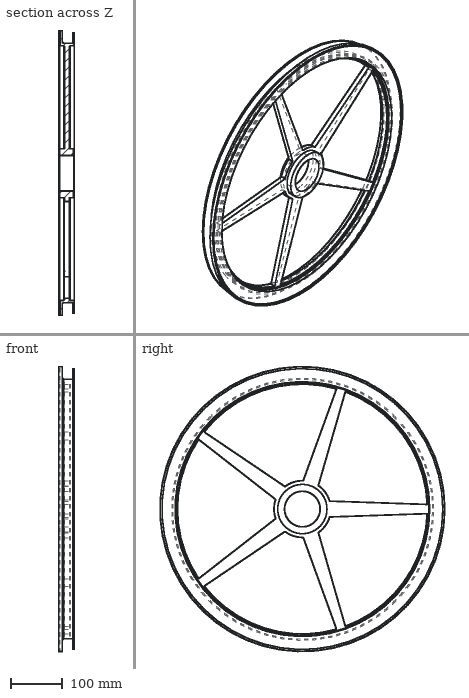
import cadquery as cq

outer_diameter = 548.0
wheel_width = 30.0

left_flange_thickness = 7.0
right_flange_diameter = 540.0
right_flange_thickness = 3.5
groove_diameter = 500.0
groove_root_chamfer = 2.0
rim_bore_diameter = 490.0
face_recess_diameter = 542.0
face_recess_depth = 2.0

web_left = 11.0
web_thickness = 10.0
web_bore_diameter = 480.0
web_root_chamfer = 1.5

hub_disc_diameter = 109.5
hub_boss_diameter = 95.0
hub_bore_diameter = 68.0
hub_length = 27.5
hub_left = (wheel_width - hub_length) / 2

spoke_count = 5
spoke_root_width = 32.0
spoke_tip_width = 18.0
spoke_root_radius = (hub_bore_diameter + hub_boss_diameter) / 4
spoke_tip_radius = (web_bore_diameter + rim_bore_diameter) / 4


def disc(diameter, start_x, length):
    """Solid cylinder on the axle line, from start_x toward +X."""
    return cq.Workplane("YZ", origin=(start_x, 0, 0)).circle(diameter / 2).extrude(length)


def make_rim():
    outer_r = outer_diameter / 2
    right_r = right_flange_diameter / 2
    groove_r = groove_diameter / 2
    bore_r = rim_bore_diameter / 2
    recess_r = face_recess_diameter / 2
    web_r = web_bore_diameter / 2
    web_right = web_left + web_thickness
    right_flange_x = wheel_width - right_flange_thickness
    section = [
        (0, outer_r),
        (left_flange_thickness, outer_r),
        (left_flange_thickness, groove_r + groove_root_chamfer),
        (left_flange_thickness + groove_root_chamfer, groove_r),
        (right_flange_x, groove_r),
        (right_flange_x, right_r),
        (wheel_width, right_r),
        (wheel_width, bore_r),
        (web_right + web_root_chamfer, bore_r),
        (web_right, bore_r - web_root_chamfer),
        (web_right, web_r),
        (web_left, web_r),
        (web_left, bore_r - web_root_chamfer),
        (web_left - web_root_chamfer, bore_r),
        (face_recess_depth, bore_r),
        (face_recess_depth, recess_r),
        (0, recess_r),
    ]
    return cq.Workplane("XY").polyline(section).close().revolve(360, (0, 0, 0), (1, 0, 0))


def make_spoke(angle):
    """Tapered flat spoke; an angle of zero points along +Y."""
    outline = [
        (spoke_root_radius, -spoke_root_width / 2),
        (spoke_tip_radius, -spoke_tip_width / 2),
        (spoke_tip_radius, spoke_tip_width / 2),
        (spoke_root_radius, spoke_root_width / 2),
    ]
    plane = cq.Workplane("YZ", origin=(web_left, 0, 0))
    spoke = plane.polyline(outline).close().extrude(web_thickness)
    return spoke.rotate((0, 0, 0), (1, 0, 0), angle)


hub = disc(hub_disc_diameter, web_left, web_thickness).union(disc(hub_boss_diameter, hub_left, hub_length))
wheel = make_rim().union(hub)
for index in range(spoke_count):
    wheel = wheel.union(make_spoke(index * 360 / spoke_count))

result = wheel.cut(disc(hub_bore_diameter, hub_left, hub_length))